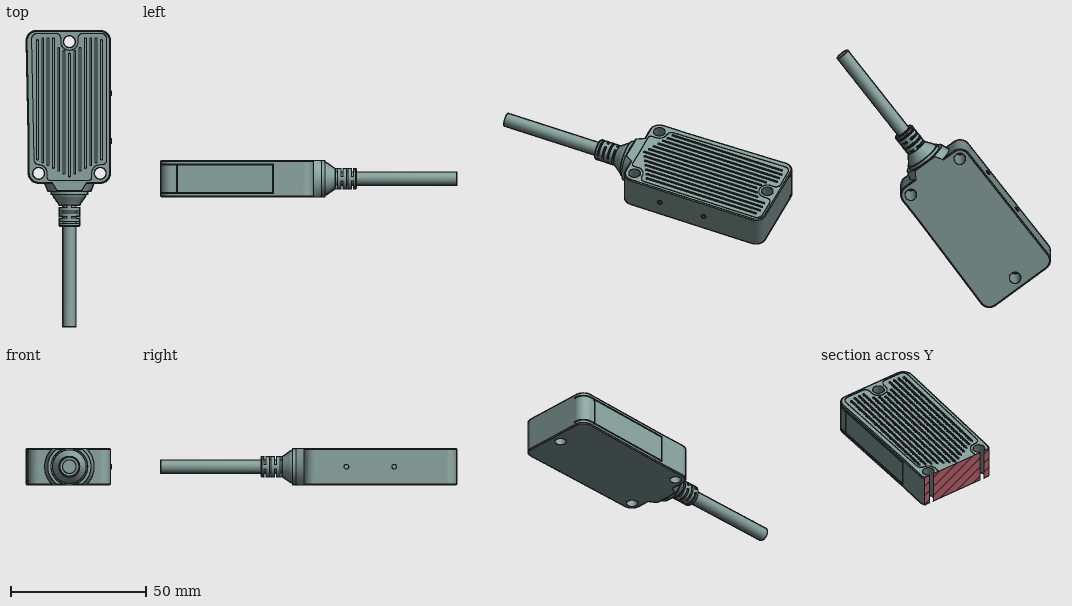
import cadquery as cq
import math

overall_length = 109.5
half_thickness = 6.8
half_width = 15.2
body_length = 56.5
flare = 0.9
flare_start = 14.1
corner_radius = 3.8
edge_chamfer = 0.38

hole_diameter = 4.3
front_hole_x = 11.4
front_hole_y = 3.7
back_hole_inset = 4.2
back_hole_y = body_length - back_hole_inset

panel_depth = 0.1
panel_right = 13.8
panel_left_front = -13.0
panel_left_back = -14.0
panel_inset = 1.1
panel_front = panel_inset
panel_back = body_length - panel_inset
pad_radius = 3.2
back_pad_round = 3.1
pad_blend = 1.9
panel_corner = 2.2
panel_front_corner = 1.1

groove_pitch = 2.0
groove_width = 0.7
groove_depth = 0.5
groove_steps = 6
middle_groove_front = 2.4
middle_groove_back = 48.1
groove_stagger = 1.04
long_groove_back = 53.8
outer_groove_back = 53.1
shortened_grooves = 2

frame_half_height = 5.3
frame_front = 14.9
frame_back = 50.5
frame_line = 0.3
frame_depth = 0.2

button_radius = 0.9
button_height = 0.3
button_positions = (15.7, 33.3)

boot_root_radius = 9.5
boot_root_y = 0.9
flange_radius = 8.0
flange_y = -3.0
collar_radius = half_thickness
collar_y = -4.2
cone_step_radius = 6.2
cone_start_radius = 5.8
cone_start_y = -5.1
cone_end_radius = 4.4
cone_end_y = -7.1
sleeve_radius = 3.8
sleeve_start_y = -8.0
sleeve_end_y = -15.9
sleeve_chamfer = 0.3
slit_count = 4
slit_pitch = 2.0
slit_width = 0.7
first_slit_y = -8.5
bridge_width = 1.6

cable_radius = 2.5
cable_end = body_length - overall_length


def rounded_outline(corners):
    """Closed wire on XY through (x, y, radius) corners, each rounded by a tangent arc."""
    rounded = []
    for i, (x, y, radius) in enumerate(corners):
        corner = cq.Vector(x, y)
        before = cq.Vector(*corners[i - 1][:2]) - corner
        after = cq.Vector(*corners[(i + 1) % len(corners)][:2]) - corner
        half_angle = before.getAngle(after) / 2
        setback = radius / math.tan(half_angle)
        bisector = (before.normalized() + after.normalized()).normalized()
        middle = corner + bisector * (radius / math.sin(half_angle) - radius)
        start = corner + before.normalized() * setback
        end = corner + after.normalized() * setback
        rounded.append((start, middle, end))
    wire = cq.Workplane("XY").moveTo(*rounded[0][0].toTuple()[:2])
    for i, (start, middle, end) in enumerate(rounded):
        if i > 0:
            wire = wire.lineTo(start.x, start.y)
        if corners[i][2] > 0:
            wire = wire.threePointArc((middle.x, middle.y), (end.x, end.y))
    return wire.close()


def body_block():
    """Rounded housing block whose -X wall flares outward toward the back."""
    corners = [
        (half_width, 0, corner_radius),
        (half_width, body_length, corner_radius),
        (-half_width - flare, body_length, corner_radius),
        (-half_width, flare_start, 0),
        (-half_width, 0, corner_radius),
    ]
    outline = rounded_outline(corners)
    return outline.extrude(2 * half_thickness).translate((0, 0, -half_thickness))


def label_frame(block):
    """Shallow lines following the -X wall: top, bottom and two cross lines."""
    base = block.faces("<Z").wires().toPending().offset2D(-frame_depth)
    core = base.extrude(-2 * half_thickness, combine=False)
    skin = block.cut(core)
    wall_depth = corner_radius + flare
    wall_x = -half_width - flare + wall_depth / 2
    run = body_length - frame_front
    lines = cq.Workplane("XY")
    for side in (-1, 1):
        line = cq.Workplane("XY").box(wall_depth, run, frame_line)
        lines = lines.add(line.translate((wall_x, frame_front + run / 2, side * frame_half_height)))
    for y in (frame_front, frame_back):
        line = cq.Workplane("XY").box(wall_depth, frame_line, 2 * frame_half_height + frame_line)
        lines = lines.add(line.translate((wall_x, y, 0)))
    return lines.combine().intersect(skin)


def top_panel():
    """Cutter for the shallow panel that leaves the three hole pads standing."""
    pad_front_x = front_hole_x - pad_radius
    pad_front_y = front_hole_y + pad_radius
    pad_back_y = back_hole_y - pad_radius
    corners = [
        (pad_front_x, panel_front, panel_front_corner),
        (pad_front_x, pad_front_y, pad_radius),
        (panel_right, pad_front_y, pad_blend),
        (panel_right, panel_back, panel_corner),
        (pad_radius, panel_back, pad_blend),
        (pad_radius, pad_back_y, back_pad_round),
        (-pad_radius, pad_back_y, back_pad_round),
        (-pad_radius, panel_back, pad_blend),
        (panel_left_back, panel_back, panel_corner),
        (panel_left_front, pad_front_y, pad_blend),
        (-pad_front_x, pad_front_y, pad_radius),
        (-pad_front_x, panel_front, panel_front_corner),
    ]
    cutter = rounded_outline(corners).extrude(panel_depth)
    return cutter.translate((0, 0, half_thickness - panel_depth))


def panel_grooves():
    """Parallel grooves with staggered ends, longest toward the front at the middle."""
    grooves = cq.Workplane("XY")
    for i in range(-groove_steps, groove_steps + 1):
        step = abs(i)
        front = middle_groove_front + groove_stagger * step
        if step <= shortened_grooves:
            back = middle_groove_back + groove_stagger * step
        elif step < groove_steps:
            back = long_groove_back
        else:
            back = outer_groove_back
        groove = (
            cq.Workplane("XY", origin=(i * groove_pitch, (front + back) / 2, half_thickness))
            .slot2D(back - front, groove_width, 90)
            .extrude(-panel_depth - groove_depth)
        )
        grooves = grooves.add(groove)
    return grooves.combine()


def mounting_holes():
    centers = [(-front_hole_x, front_hole_y), (front_hole_x, front_hole_y), (0, back_hole_y)]
    holes = cq.Workplane("XY", origin=(0, 0, -half_thickness)).pushPoints(centers)
    return holes.circle(hole_diameter / 2).extrude(2 * half_thickness)


def buttons():
    points = [(y, 0) for y in button_positions]
    base = cq.Workplane("YZ", origin=(half_width, 0, 0)).pushPoints(points)
    return base.circle(button_radius).extrude(button_height)


def turned(profile):
    """Solid of revolution about the cable axis from (radius, y) points."""
    first_y = profile[0][1]
    last_y = profile[-1][1]
    points = [(0, first_y)] + profile + [(0, last_y)]
    return cq.Workplane("XY").polyline(points).close().revolve(360, (0, 0, 0), (0, 1, 0))


def boot_flange():
    """Tapered flange trimmed flush with the top and bottom of the housing."""
    flange = turned([(boot_root_radius, boot_root_y), (flange_radius, flange_y)])
    length = boot_root_y - flange_y
    trim = cq.Workplane("XY").box(2 * boot_root_radius, length, 2 * half_thickness)
    trim = trim.faces("<Y").edges("|X").chamfer(edge_chamfer)
    return flange.intersect(trim.translate((0, flange_y + length / 2, 0)))


def boot_sleeve():
    """Collar, cone and strain-relief sleeve ahead of the cable."""
    sleeve = turned([
        (collar_radius, flange_y),
        (collar_radius, collar_y),
        (cone_step_radius, collar_y),
        (cone_start_radius, cone_start_y),
        (cone_end_radius, cone_end_y),
        (sleeve_radius, sleeve_start_y),
        (sleeve_radius, sleeve_end_y + sleeve_chamfer),
        (sleeve_radius - sleeve_chamfer, sleeve_end_y),
    ])
    for i in range(slit_count):
        sleeve = sleeve.cut(strain_slit(first_slit_y - i * slit_pitch, i % 2 == 0))
    return sleeve


def strain_slit(y, bridges_upright):
    """Ring-shaped slit broken by two bridges, along Z or along X."""
    ring_radius = 2 * sleeve_radius
    ring = cq.Workplane("XZ", origin=(0, y + slit_width / 2, 0))
    ring = ring.circle(ring_radius).circle(cable_radius).extrude(slit_width)
    bridge_length = 2 * ring_radius
    size_x, size_z = bridge_length, bridge_width
    if bridges_upright:
        size_x, size_z = bridge_width, bridge_length
    bridge = cq.Workplane("XY").box(size_x, slit_width, size_z).translate((0, y, 0))
    return ring.cut(bridge)


def cable():
    start = cq.Workplane("XZ", origin=(0, flange_y, 0))
    return start.circle(cable_radius).extrude(flange_y - cable_end)


block = body_block()
body = block.faces("<Z or >Z").edges().chamfer(edge_chamfer)
body = body.cut(label_frame(block))
body = body.union(boot_flange())
body = body.cut(top_panel()).cut(panel_grooves()).cut(mounting_holes())
result = body.union(buttons()).union(boot_sleeve()).union(cable())